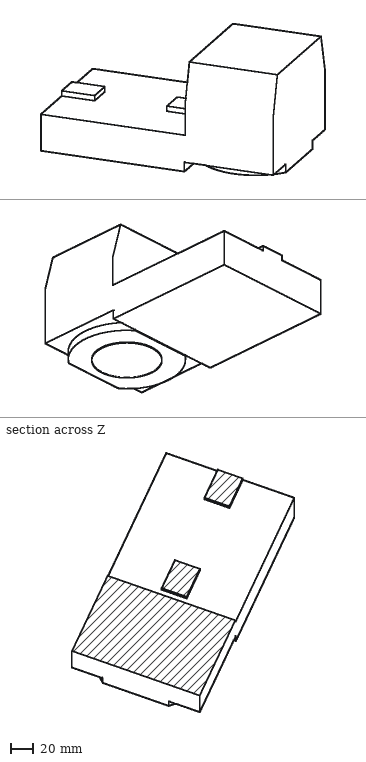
import cadquery as cq

length = 225.0
width = 124.0
height = 102.0

base_length = 139.0
base_height = 35.0

housing_start = 139.7
housing_bottom = 9.0
shoulder_height = 64.8
roof_width = 104.2

pad_length = 32.0
pad_width = 24.5
pad_height = 5.0
pad_starts = (0.0, 102.0)

foot_start = 141.0
foot_diameter = 105.3
foot_bottom = 1.0
disc_diameter = 63.0

housing_length = length - housing_start
foot_length = length - foot_start
foot_center = (foot_start + length) / 2


def block(start, size_x, size_y, bottom, top):
    """Box starting at an X position and centred across the width."""
    return (
        cq.Workplane("XY")
        .box(size_x, size_y, top - bottom, centered=(False, True, False))
        .translate((start, 0, bottom))
    )


def disc(diameter, bottom, top):
    """Upright cylinder on the axis of the foot."""
    return (
        cq.Workplane("XY", origin=(foot_center, 0, bottom))
        .circle(diameter / 2)
        .extrude(top - bottom)
    )


def make_base():
    slab = block(0, base_length, width, 0, base_height)
    bridge = block(0, housing_start, width, housing_bottom, base_height)
    return slab.union(bridge)


def make_housing():
    profile = [
        (-width / 2, housing_bottom),
        (width / 2, housing_bottom),
        (width / 2, shoulder_height),
        (roof_width / 2, height),
        (-roof_width / 2, height),
        (-width / 2, shoulder_height),
    ]
    return (
        cq.Workplane("YZ", origin=(housing_start, 0, 0))
        .polyline(profile)
        .close()
        .extrude(housing_length)
    )


def make_foot():
    plate = disc(foot_diameter, foot_bottom, housing_bottom)
    flats = block(foot_start, foot_length, width, foot_bottom, housing_bottom)
    return plate.intersect(flats).union(disc(disc_diameter, 0, foot_bottom))


result = make_base().union(make_housing()).union(make_foot())
for pad_start in pad_starts:
    pad = block(pad_start, pad_length, pad_width, base_height, base_height + pad_height)
    result = result.union(pad)